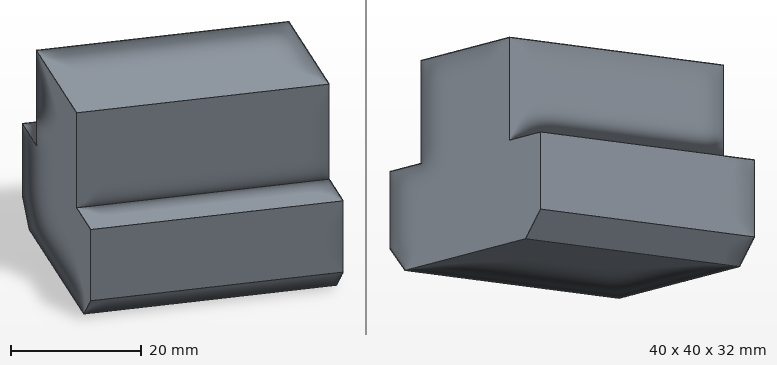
import cadquery as cq

length = 40.0
flange_width = 40.0
flange_height = 16.0
neck_width = 23.6
total_height = 32.0
chamfer = 4.0

neck_height = total_height - flange_height

flange = (
    cq.Workplane("XY")
    .box(flange_width, length, flange_height, centered=(True, True, False))
    .edges("|Y and <Z")
    .chamfer(chamfer)
)

neck = (
    cq.Workplane("XY")
    .workplane(offset=flange_height)
    .box(neck_width, length, neck_height, centered=(True, True, False))
)

result = flange.union(neck)